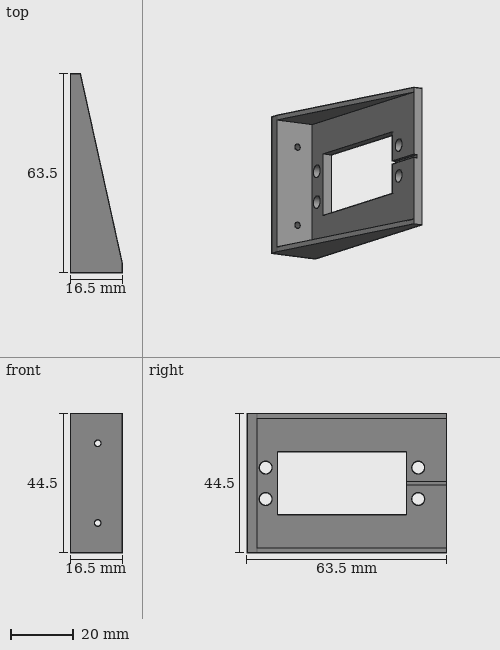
import cadquery as cq

thick_end = 16.51
length = 63.5
height = 44.45
plate_thickness = 3.175
side_wall = 1.5875
mid_z = height / 2

window_length = 41.0
window_height = 20.0
window_center_y = 30.175
window_center_z = mid_z - 0.05

screw_diameter = 4.0
screw_spacing_y = 48.6
screw_spacing_z = 10.0

pilot_diameter = 2.0
pilot_spacing = 25.4
pilot_x = 8.68

groove_width = 1.0
groove_depth = 1.27


def make_wedge():
    outline = [
        (0, 0),
        (thick_end, 0),
        (thick_end, plate_thickness),
        (plate_thickness, length),
        (0, length),
    ]
    return cq.Workplane("XY").polyline(outline).close().extrude(height)


def make_back_pocket():
    """Space behind the plate, between the side walls, open at the slope."""
    pocket = cq.Workplane("XY").box(thick_end, length, height - 2 * side_wall, centered=False)
    return pocket.translate((plate_thickness, plate_thickness, side_wall))


def make_window():
    window = cq.Workplane("XY").box(plate_thickness, window_length, window_height)
    return window.translate((plate_thickness / 2, window_center_y, window_center_z))


def make_screw_holes():
    return (
        cq.Workplane("YZ")
        .center(window_center_y, window_center_z)
        .rarray(screw_spacing_y, screw_spacing_z, 2, 2)
        .circle(screw_diameter / 2)
        .extrude(plate_thickness)
    )


def make_pilot_holes():
    return (
        cq.Workplane("XZ")
        .center(pilot_x, mid_z)
        .rarray(1, pilot_spacing, 1, 2)
        .circle(pilot_diameter / 2)
        .extrude(-plate_thickness)
    )


def make_relief_groove():
    return (
        cq.Workplane("XY")
        .box(groove_depth, length - window_center_y, groove_width, centered=(False, False, True))
        .translate((plate_thickness - groove_depth, window_center_y, window_center_z))
    )


result = (
    make_wedge()
    .cut(make_back_pocket())
    .cut(make_window())
    .cut(make_screw_holes())
    .cut(make_pilot_holes())
    .cut(make_relief_groove())
)